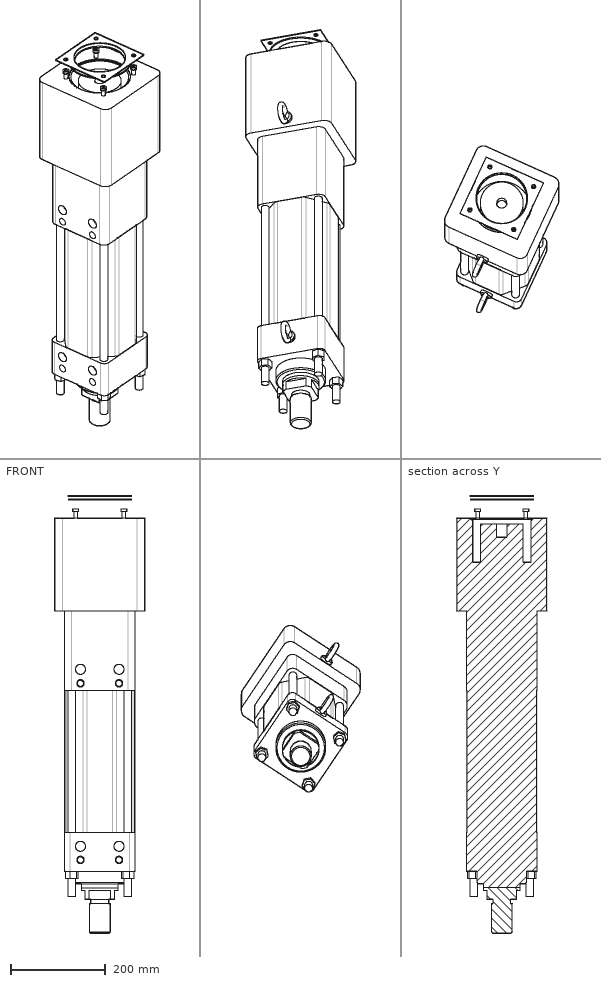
import cadquery as cq
import math

TOTAL_HEIGHT = 923.0
ROD_NECK_BOTTOM = 63.0
ROD_HEAD_BOTTOM = 72.0
FLATS_TOP = 90.0
ROD_HEAD_TOP = 96.0
COLLAR_BOTTOM = 104.0
NUT_BOTTOM = 115.0
HEAD_BOTTOM = 131.0
HEAD_TOP = 212.0
MIDDLE_BOTTOM = 512.0
HOUSING_BOTTOM = 679.0
HOUSING_TOP = 875.0

HOUSING_WIDTH = 190.0
HOUSING_CORNER = 17.0
BLOCK_WIDTH = 149.0
MIDDLE_CORNER = 15.0
HEAD_CORNER = 12.0

TUBE_WIDTH = 148.0
TUBE_ACROSS_CORNERS = 149.0
TUBE_EDGE_RADIUS = 12.0

TIE_ROD_OFFSET = 59.0
TIE_ROD_DIAMETER = 17.0
TIE_ROD_BOTTOM = 77.5
NUT_ACROSS_FLATS = 24.0
NUT_TURN = 15.0

COLLAR_DIAMETER = 105.0
COLLAR_CHAMFER = 3.0
GLAND_DIAMETER = 77.5

RIM_DIAMETER = 129.0
RIM_DEPTH = 3.0
RECESS_DIAMETER = 122.0
RECESS_DEPTH = 92.0
CORE_DIAMETER = 90.0
CORE_SINK = 12.0
SHAFT_HOLE_DIAMETER = 21.0
SHAFT_HOLE_DEPTH = 28.0

HOLE_OFFSET = 41.0
LARGE_HOLE_DIAMETER = 21.0
LARGE_HOLE_DEPTH = 17.0
THREAD_DIAMETER = 16.0
THREAD_DEPTH = 17.0
CORE_HOLE_DIAMETER = 13.0
CORE_HOLE_DEPTH = 20.0
DRILL_POINT_ANGLE = 118.0
LARGE_HOLE_LEVELS = (184.0, 556.0)
TAPPED_HOLE_LEVELS = (155.0, 527.0)

EYE_OUTER_DIAMETER = 47.0
EYE_WIRE_DIAMETER = 10.0
EYE_REACH = 46.0
EYE_FOOT_DIAMETER = 26.0
EYE_FOOT_HEIGHT = 9.0
EYE_FOOT_CHAMFER = 4.0
HEAD_EYE_LEVEL = 171.0
HOUSING_EYE_LEVEL = 700.0

ROD_HEAD_DIAMETER = 77.5
ROD_ACROSS_FLATS = 63.0
ROD_NECK_DIAMETER = 39.0
ROD_DIAMETER = 44.0
ROD_TIP_CHAMFER = 3.0

COVER_WIDTH = 133.0
COVER_THICKNESS = 2.0
RING_TOP = 915.0
RING_THICKNESS = 3.0
COVER_OPENING = 109.0
RING_OPENING = 105.0
SCREW_OFFSET = 51.0
COVER_HOLE_DIAMETER = 8.4
SCREW_DIAMETER = 8.0
SCREW_HEAD_DIAMETER = 13.0
SOCKET_ACROSS_FLATS = 5.5
SOCKET_DEPTH = 3.0
SCREW_HEAD_TOP = 894.0
SCREW_HEAD_HEIGHT = 5.5
SCREW_BOTTOM = 861.0


def corner_points(offset):
    """The four corners of a square centred on the axis."""
    return [(x, y) for x in (-offset, offset) for y in (-offset, offset)]


def square_block(width, corner, bottom, top):
    block = cq.Workplane("XY", origin=(0, 0, bottom)).rect(width, width).extrude(top - bottom)
    return block.edges("|Z").fillet(corner)


def disc(diameter, bottom, top, centre=(0, 0)):
    plane = cq.Workplane("XY", origin=(centre[0], centre[1], bottom))
    return plane.circle(diameter / 2).extrude(top - bottom)


def tube():
    """Square prism whose corners are cut by 45 degree planes, with rounded edges."""
    height = MIDDLE_BOTTOM - HEAD_BOTTOM
    base = cq.Workplane("XY", origin=(0, 0, HEAD_BOTTOM))
    square = base.rect(TUBE_WIDTH, TUBE_WIDTH).extrude(height)
    turned = base.transformed(rotate=(0, 0, 45)).rect(TUBE_ACROSS_CORNERS, TUBE_ACROSS_CORNERS).extrude(height)
    return square.intersect(turned).edges("|Z").fillet(TUBE_EDGE_RADIUS)


def tie_rod(x, y):
    """Tie rod with the nut that clamps the head."""
    rod = disc(TIE_ROD_DIAMETER, TIE_ROD_BOTTOM, MIDDLE_BOTTOM, (x, y))
    turn = math.degrees(math.atan2(y, x)) - 45 - NUT_TURN
    nut = (
        cq.Workplane("XY", origin=(x, y, NUT_BOTTOM))
        .transformed(rotate=(0, 0, turn))
        .polygon(6, NUT_ACROSS_FLATS, circumscribed=True)
        .extrude(HEAD_BOTTOM - NUT_BOTTOM)
    )
    return rod.union(nut)


def lifting_eye(wall, level):
    """Ring in the YZ plane on a round foot that stands on the face at Y = wall."""
    wire_radius = EYE_WIRE_DIAMETER / 2
    ring_radius = EYE_OUTER_DIAMETER / 2 - wire_radius
    centre_y = wall + EYE_REACH - EYE_OUTER_DIAMETER / 2
    ring = cq.Workplane(cq.Solid.makeTorus(
        ring_radius, wire_radius, cq.Vector(0, centre_y, level), cq.Vector(1, 0, 0)
    ))
    foot = (
        cq.Workplane("XZ", origin=(0, wall, level))
        .circle(EYE_FOOT_DIAMETER / 2)
        .extrude(-EYE_FOOT_HEIGHT)
        .faces(">Y")
        .chamfer(EYE_FOOT_CHAMFER)
    )
    return ring.union(foot)


def front_bore(x, level, diameter, depth):
    """Flat-bottomed bore into the -Y face."""
    return cq.Workplane("XZ", origin=(x, -BLOCK_WIDTH / 2, level)).circle(diameter / 2).extrude(-depth)


def tapped_hole(x, level):
    """Wide thread entry followed by a narrower core hole with a conical end."""
    radius = CORE_HOLE_DIAMETER / 2
    point = radius / math.tan(math.radians(DRILL_POINT_ANGLE / 2))
    profile = [(0, 0), (radius, 0), (radius, CORE_HOLE_DEPTH), (0, CORE_HOLE_DEPTH + point)]
    core = cq.Workplane("XY").polyline(profile).close().revolve(360, (0, 0, 0), (0, 1, 0))
    core = core.translate((x, -BLOCK_WIDTH / 2, level))
    return core.union(front_bore(x, level, THREAD_DIAMETER, THREAD_DEPTH))


def cylinder_body():
    body = square_block(HOUSING_WIDTH, HOUSING_CORNER, HOUSING_BOTTOM, HOUSING_TOP)
    body = body.union(square_block(BLOCK_WIDTH, MIDDLE_CORNER, MIDDLE_BOTTOM, HOUSING_BOTTOM))
    body = body.union(square_block(BLOCK_WIDTH, HEAD_CORNER, HEAD_BOTTOM, HEAD_TOP))
    body = body.union(tube())
    for x, y in corner_points(TIE_ROD_OFFSET):
        body = body.union(tie_rod(x, y))
    collar = disc(COLLAR_DIAMETER, COLLAR_BOTTOM, HEAD_BOTTOM).faces("<Z").chamfer(COLLAR_CHAMFER)
    body = body.union(collar).union(disc(GLAND_DIAMETER, ROD_HEAD_TOP, COLLAR_BOTTOM))

    body = body.cut(disc(RECESS_DIAMETER, HOUSING_TOP - RECESS_DEPTH, HOUSING_TOP))
    body = body.cut(disc(RIM_DIAMETER, HOUSING_TOP - RIM_DEPTH, HOUSING_TOP))
    core_top = HOUSING_TOP - CORE_SINK
    body = body.union(disc(CORE_DIAMETER, HOUSING_TOP - RECESS_DEPTH, core_top))
    body = body.cut(disc(SHAFT_HOLE_DIAMETER, core_top - SHAFT_HOLE_DEPTH, core_top))

    for x in (-HOLE_OFFSET, HOLE_OFFSET):
        for level in LARGE_HOLE_LEVELS:
            body = body.cut(front_bore(x, level, LARGE_HOLE_DIAMETER, LARGE_HOLE_DEPTH))
        for level in TAPPED_HOLE_LEVELS:
            body = body.cut(tapped_hole(x, level))
    for x, y in corner_points(SCREW_OFFSET):
        body = body.cut(disc(SCREW_DIAMETER, SCREW_BOTTOM, HOUSING_TOP, (x, y)))

    body = body.union(lifting_eye(BLOCK_WIDTH / 2, HEAD_EYE_LEVEL))
    return body.union(lifting_eye(HOUSING_WIDTH / 2, HOUSING_EYE_LEVEL))


def piston_rod():
    head = disc(ROD_HEAD_DIAMETER, ROD_HEAD_BOTTOM, ROD_HEAD_TOP)
    flats = (
        cq.Workplane("XY", origin=(0, 0, ROD_HEAD_BOTTOM))
        .rect(2 * ROD_HEAD_DIAMETER, 2 * ROD_HEAD_DIAMETER)
        .rect(ROD_ACROSS_FLATS, ROD_ACROSS_FLATS)
        .extrude(FLATS_TOP - ROD_HEAD_BOTTOM)
    )
    neck = disc(ROD_NECK_DIAMETER, ROD_NECK_BOTTOM, ROD_HEAD_BOTTOM)
    end = disc(ROD_DIAMETER, 0, ROD_NECK_BOTTOM).faces("<Z").chamfer(ROD_TIP_CHAMFER)
    return head.cut(flats).union(neck).union(end)


def cover_plate():
    plate = (
        cq.Workplane("XY", origin=(0, 0, TOTAL_HEIGHT - COVER_THICKNESS))
        .rect(COVER_WIDTH, COVER_WIDTH)
        .circle(COVER_OPENING / 2)
        .extrude(COVER_THICKNESS)
    )
    return plate.faces(">Z").workplane().pushPoints(corner_points(SCREW_OFFSET)).hole(COVER_HOLE_DIAMETER)


def spacer_ring():
    bottom = RING_TOP - RING_THICKNESS
    return disc(COVER_WIDTH, bottom, RING_TOP).cut(disc(RING_OPENING, bottom, RING_TOP))


def screw(x, y):
    head_bottom = SCREW_HEAD_TOP - SCREW_HEAD_HEIGHT
    head = disc(SCREW_HEAD_DIAMETER, head_bottom, SCREW_HEAD_TOP, (x, y))
    socket = (
        cq.Workplane("XY", origin=(x, y, SCREW_HEAD_TOP))
        .polygon(6, SOCKET_ACROSS_FLATS, circumscribed=True)
        .extrude(-SOCKET_DEPTH)
    )
    return head.cut(socket).union(disc(SCREW_DIAMETER, SCREW_BOTTOM, head_bottom, (x, y)))


body = cylinder_body()
rod = piston_rod()
plate = cover_plate()
ring = spacer_ring()
screws = [screw(x, y).val() for x, y in corner_points(SCREW_OFFSET)]

result = cq.Compound.makeCompound([body.val(), rod.val(), plate.val(), ring.val(), *screws])